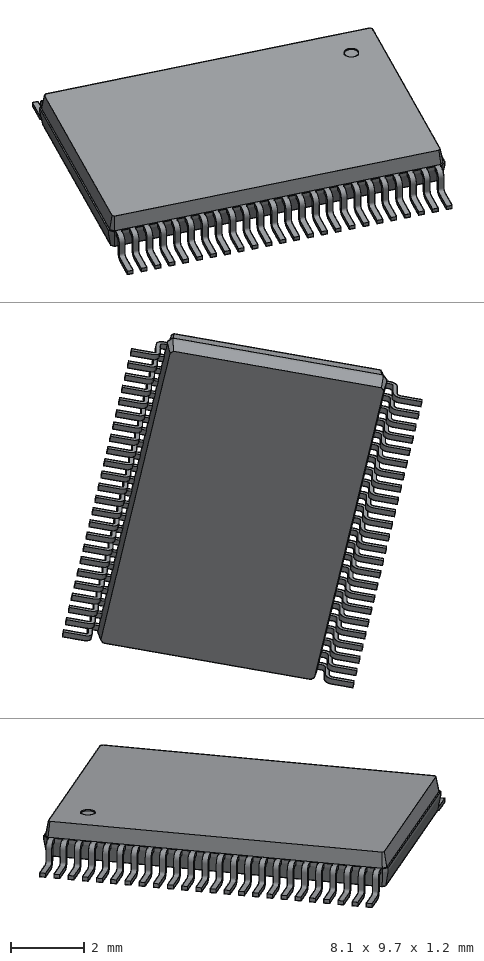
import cadquery as cq
import math

BODY_WIDTH = 6.11
BODY_LENGTH = 9.7
BODY_BOTTOM = 0.2
BODY_TOP = 1.2
CORNER_CHAMFER = 0.13
TOP_STEP = 0.044
TAPER_INSET = 0.08

LEAD_COUNT = 24
LEAD_ROW_LENGTH = 9.2
LEAD_PITCH = LEAD_ROW_LENGTH / (LEAD_COUNT - 1)
LEAD_WIDTH = 0.165
LEAD_THICKNESS = 0.12
LEAD_SPAN = 8.1
FOOT_LENGTH = 0.69
BEND_RADIUS = 0.09
LEAD_EMBED = 0.1

MARK_DIAMETER = 0.4
MARK_DEPTH = 0.04
MARK_X = -2.03
MARK_Y = 3.83

BAND_BOTTOM = (BODY_BOTTOM + BODY_TOP - LEAD_THICKNESS) / 2
BAND_TOP = BAND_BOTTOM + LEAD_THICKNESS


def body_outline(z, inset=0.0):
    """Rectangle with chamfered corners at height z, moved inwards evenly by inset."""
    half_x = BODY_WIDTH / 2 - inset
    half_y = BODY_LENGTH / 2 - inset
    chamfer = CORNER_CHAMFER - inset * (2 - math.sqrt(2))
    corner_x = half_x - chamfer
    corner_y = half_y - chamfer
    return cq.Workplane("XY").workplane(offset=z).polyline([
        (half_x, -corner_y), (half_x, corner_y),
        (corner_x, half_y), (-corner_x, half_y),
        (-half_x, corner_y), (-half_x, -corner_y),
        (-corner_x, -half_y), (corner_x, -half_y),
    ]).close()


def tapered_half(base_z, height, base_inset):
    """Half of the body, narrowing from base_z; a negative height goes downwards."""
    taper = math.degrees(math.atan(TAPER_INSET / abs(height)))
    return body_outline(base_z, base_inset).extrude(height, taper=taper)


def make_body():
    band = body_outline(BAND_BOTTOM).extrude(LEAD_THICKNESS)
    upper = tapered_half(BAND_TOP, BODY_TOP - BAND_TOP, TOP_STEP)
    lower = tapered_half(BAND_BOTTOM, BODY_BOTTOM - BAND_BOTTOM, 0.0)
    return band.union(upper).union(lower)


def make_lead():
    """Gull-wing lead on the +X side, centred on Y = 0."""
    tip = LEAD_SPAN / 2
    upright_outer = tip - FOOT_LENGTH
    upright_inner = upright_outer - LEAD_THICKNESS
    buried_end = BODY_WIDTH / 2 - LEAD_EMBED
    inside = BEND_RADIUS
    outside = BEND_RADIUS + LEAD_THICKNESS
    foot_bend_x = upright_outer + inside
    foot_bend_z = outside
    shoulder_x = upright_inner - inside
    shoulder_z = BAND_TOP - outside
    profile = (
        cq.Workplane("XZ", origin=(0, LEAD_WIDTH / 2, 0))
        .moveTo(tip, 0)
        .lineTo(tip, LEAD_THICKNESS)
        .lineTo(foot_bend_x, LEAD_THICKNESS)
        .radiusArc((upright_outer, foot_bend_z), inside)
        .lineTo(upright_outer, shoulder_z)
        .radiusArc((shoulder_x, BAND_TOP), -outside)
        .lineTo(buried_end, BAND_TOP)
        .lineTo(buried_end, BAND_BOTTOM)
        .lineTo(shoulder_x, BAND_BOTTOM)
        .radiusArc((upright_inner, shoulder_z), inside)
        .lineTo(upright_inner, foot_bend_z)
        .radiusArc((foot_bend_x, 0), -outside)
        .close()
    )
    return profile.extrude(LEAD_WIDTH)


def make_leads():
    """List of the leads in both rows, centred along Y."""
    right_lead = make_lead()
    left_lead = right_lead.mirror("YZ")
    first_y = -LEAD_ROW_LENGTH / 2
    leads = []
    for index in range(LEAD_COUNT):
        offset = (0, first_y + index * LEAD_PITCH, 0)
        leads += [right_lead.translate(offset), left_lead.translate(offset)]
    return leads


def make_pin_mark():
    """Shallow round recess in the top face beside pin 1."""
    return (
        cq.Workplane("XY", origin=(MARK_X, MARK_Y, BODY_TOP - MARK_DEPTH))
        .circle(MARK_DIAMETER / 2)
        .extrude(MARK_DEPTH)
    )


result = make_body().cut(make_pin_mark())
for lead in make_leads():
    result = result.union(lead)